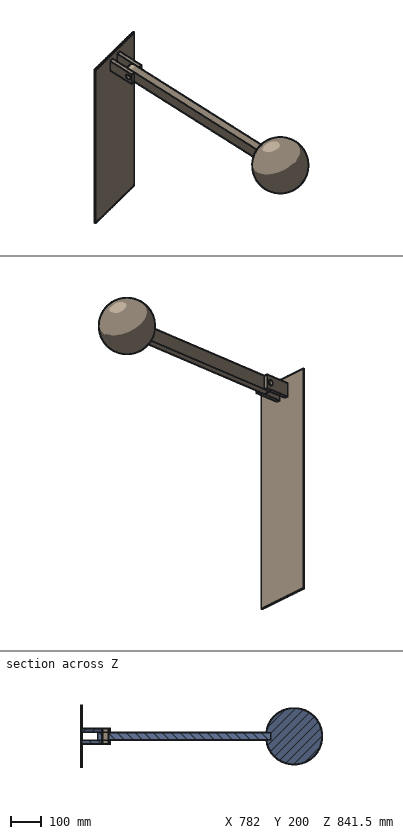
import cadquery as cq

plate_thickness = 5.0
plate_width = 200.0
plate_height = 799.0

arm_height = 50.0
arm_thickness = 25.0
pivot_x = 80.0
pivot_diameter = 20.0

lug_end_x = 95.0
lug_thickness = 13.0

total_length = 782.0
total_height = 841.5
ball_radius = 92.0
socket_depth = 17.0
ball_x = total_length - ball_radius
arm_z = total_height - ball_radius
arm_end_x = ball_x - ball_radius + socket_depth


def pivot_hole():
    """Cylinder along Y that clears the pivot hole through arm and lugs."""
    length = arm_thickness + 2 * lug_thickness
    return (
        cq.Workplane("XZ", origin=(pivot_x, 0, arm_z))
        .circle(pivot_diameter / 2)
        .extrude(length / 2, both=True)
    )


def make_plate():
    return cq.Workplane("XY").box(
        plate_thickness, plate_width, plate_height, centered=(False, True, False)
    )


def make_lug(side):
    """Drilled lug standing on the plate; side is -1 or +1 along Y."""
    center_y = side * (arm_thickness + lug_thickness) / 2
    blank = cq.Workplane("XY", origin=(plate_thickness, center_y, arm_z)).box(
        lug_end_x - plate_thickness, lug_thickness, arm_height, centered=(False, True, True)
    )
    return blank.cut(pivot_hole())


def make_arm():
    """Bar with a half-round pivot end; its square far end plugs into the ball."""
    half_height = arm_height / 2
    bar = (
        cq.Workplane("XZ", origin=(pivot_x, 0, arm_z))
        .moveTo(0, -half_height)
        .lineTo(arm_end_x - pivot_x, -half_height)
        .lineTo(arm_end_x - pivot_x, half_height)
        .lineTo(0, half_height)
        .threePointArc((-half_height, 0), (0, -half_height))
        .close()
        .extrude(arm_thickness / 2, both=True)
    )
    return bar.cut(pivot_hole())


def make_ball(plug):
    """Sphere with a flat-bottomed socket that fits the end of the plug."""
    return cq.Workplane("XY", origin=(ball_x, 0, arm_z)).sphere(ball_radius).cut(plug)


plate = make_plate()
lugs = [make_lug(side) for side in (-1, 1)]
arm = make_arm()
ball = make_ball(arm)

result = cq.Compound.makeCompound(
    [plate.val(), *[lug.val() for lug in lugs], arm.val(), ball.val()]
)